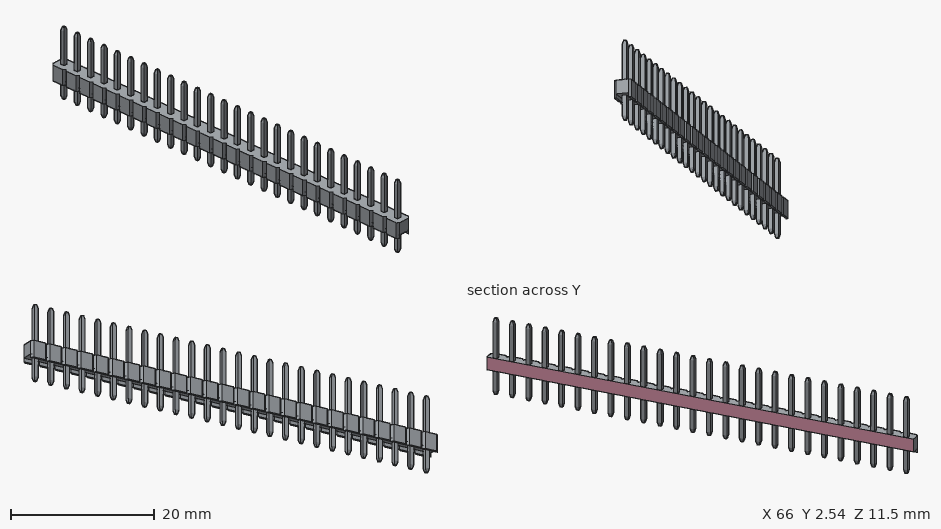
import cadquery as cq

pin_count = 26
pitch = 2.54
cell_width = pitch
housing_height = 2.54
corner_chamfer = 0.35
housing_length = pin_count * pitch

channel_width = cell_width - 2 * corner_chamfer
web_thickness = 2.0
channel_depth = housing_height - web_thickness

pin_size = 0.64
pin_above_housing = 6.0
pin_below_housing = 3.0
pin_length = pin_below_housing + housing_height + pin_above_housing
tip_length = 0.55
tip_inset = 0.15

first_pin_x = -(pin_count - 1) * pitch / 2
pin_positions = [(first_pin_x + index * pitch, 0) for index in range(pin_count)]


def make_cell():
    """One housing cell, centred on the Z axis."""
    block = cq.Workplane("XY").box(pitch, cell_width, housing_height, centered=(True, True, False))
    return block.edges("|Z").chamfer(corner_chamfer)


def make_pin():
    """One full-length square pin, tapered at both ends."""
    shank = cq.Workplane("XY").box(pin_size, pin_size, pin_length, centered=(True, True, False))
    tapered = shank.faces("<Z or >Z").chamfer(tip_length, tip_inset)
    return tapered.translate((0, 0, -pin_below_housing))


def place_at_pins(body):
    """A copy of the body at every pin position, as one workplane."""
    locations = cq.Workplane("XY").pushPoints(pin_positions)
    return locations.eachpoint(lambda location: body.val().moved(location), combine=False)


def make_housing():
    """All cells joined in a row, with the channel cut through the underside."""
    cells = place_at_pins(make_cell()).combine()
    channel = cq.Workplane("XY").box(
        housing_length, channel_width, channel_depth, centered=(True, True, False)
    )
    return cells.cut(channel)


result = make_housing().union(place_at_pins(make_pin())).solids()